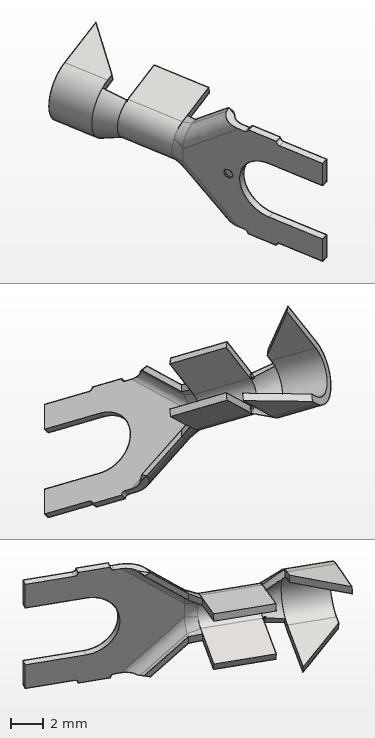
import cadquery as cq
import math

LENGTH = 19.84
THICKNESS = 0.5
OVERALL_HEIGHT = 5.54
OVERALL_WIDTH = 8.43

GRIP_END = 3.17
BARREL_START = 4.72
BARREL_END = 8.75
THROAT_START = 9.56

GRIP_BOTTOM = -0.54
GRIP_TOP = GRIP_BOTTOM + OVERALL_HEIGHT
GRIP_RADIUS = 2.28
GRIP_BEND = 78.7
GRIP_LOW_WALL = 0.52

NECK_BEND_AT_GRIP = 63.0
NECK_BEND_AT_BARREL = 75.0
NECK_FILLET = 0.12
NECK_FILLET_ROOT = 0.1

BARREL_TOP = 4.33
BARREL_RADIUS = 1.5
BARREL_BEND = 78.0

SHOULDER_TOP = 1.77
SHOULDER_FLOOR_ANGLE = 32.0
THROAT_TOP = 1.4
THROAT_RADIUS = 1.33
THROAT_FLOOR_HALF = 0.52
FLARE_ANGLE = 40.2
RIM_DROP = 0.18

FORK_HALF = 3.97
SLOT_RADIUS = 2.16
SLOT_BOTTOM = 13.73
TAB_START = 14.35
TAB_END = 16.43
DIMPLE_X = 12.9
DIMPLE_DIAMETER = 0.63
DIMPLE_DEPTH = 0.12

TAB_HEIGHT = OVERALL_WIDTH / 2 - FORK_HALF


def arc_point(bottom, radius, r, angle, offset=0.0):
    """(Y, Z) on an arc of radius r, with the angle measured from straight down."""
    a = math.radians(angle)
    return bottom + radius - r * math.cos(a), offset + r * math.sin(a)


def wall_length(bottom, radius, r, bend, top):
    """Length of the straight wall that rises from the arc of radius r to the height top."""
    return (top - arc_point(bottom, radius, r, bend)[0]) / math.sin(math.radians(bend))


def half_skin(bottom, radius, r, bend, floor_angle, offset, wall):
    """Points on the +Z half of one skin: floor end, arc middle, arc end, wall tip."""
    floor_end = arc_point(bottom, radius, r, floor_angle, offset)
    arc_middle = arc_point(bottom, radius, r, (floor_angle + bend) / 2, offset)
    arc_end = arc_point(bottom, radius, r, bend, offset)
    a = math.radians(bend)
    tip = (arc_end[0] + wall * math.sin(a), arc_end[1] + wall * math.cos(a))
    return floor_end, arc_middle, arc_end, tip


def mirrored(point):
    return point[0], -point[1]


def channel(x, bottom, radius, bend, top=None, flat_rim=False, floor_angle=None, offset=0.0):
    """Open channel section at x, with straight walls up to top if one is given.

    A flat rim ends both skins at top; otherwise the rim is square to the wall.
    A floor angle splits each skin into a floor and two side bends; without it the
    skin is one arc. The side bends are centred at the offset on either side of Z = 0.
    """
    split = floor_angle is not None
    if not split:
        floor_angle = bend
    inner_radius = radius - THICKNESS
    has_wall = top is not None
    inner_wall = wall_length(bottom, radius, inner_radius, bend, top) if has_wall else 0.0
    outer_wall = wall_length(bottom, radius, radius, bend, top) if flat_rim else inner_wall
    outer = half_skin(bottom, radius, radius, bend, floor_angle, offset, outer_wall)
    inner = half_skin(bottom, radius, inner_radius, bend, floor_angle, offset, inner_wall)

    def draw_skin(wire, skin, floor_middle):
        floor_end, arc_middle, arc_end, tip = skin
        if has_wall:
            wire = wire.lineTo(*arc_end)
        if split:
            wire = wire.threePointArc(arc_middle, floor_end)
        if floor_angle > 0:
            wire = wire.threePointArc(floor_middle, mirrored(floor_end))
        else:
            wire = wire.lineTo(*mirrored(floor_end))
        if split:
            wire = wire.threePointArc(mirrored(arc_middle), mirrored(arc_end))
        if has_wall:
            wire = wire.lineTo(*mirrored(tip))
        return wire

    wire = cq.Workplane("YZ", origin=(x, 0, 0)).moveTo(*outer[3])
    wire = draw_skin(wire, outer, (bottom, 0))
    inner_back = [mirrored(point) for point in inner]
    wire = wire.lineTo(*inner_back[3])
    wire = draw_skin(wire, inner_back, (bottom + THICKNESS, 0))
    return wire.close()


def blend(first, second):
    """Ruled solid between two channel sections."""
    wires = [first.val(), second.val()]
    return cq.Workplane(cq.Solid.makeLoft(wires, True))


def make_grip():
    grip = channel(0, GRIP_BOTTOM, GRIP_RADIUS, GRIP_BEND, GRIP_TOP).extrude(GRIP_END)
    wall = wall_length(
        GRIP_BOTTOM, GRIP_RADIUS, GRIP_RADIUS - THICKNESS, GRIP_BEND, GRIP_TOP
    )
    base_y, base_z = arc_point(GRIP_BOTTOM, GRIP_RADIUS, GRIP_RADIUS, GRIP_BEND)
    a = math.radians(GRIP_BEND)
    wall_plane = cq.Plane(
        origin=(0, base_y, base_z), xDir=(1, 0, 0), normal=(0, -math.cos(a), math.sin(a))
    )
    slant = (
        cq.Workplane(wall_plane)
        .polyline([(0, wall), (GRIP_END, wall), (GRIP_END, GRIP_LOW_WALL)])
        .close()
        .extrude(-THICKNESS)
    )
    opposite_slant = slant.rotate((GRIP_END / 2, 0, 0), (GRIP_END / 2, 1, 0), 180)
    return grip.cut(slant).cut(opposite_slant)


def make_neck():
    return blend(
        channel(GRIP_END, GRIP_BOTTOM, GRIP_RADIUS, NECK_BEND_AT_GRIP),
        channel(BARREL_START, 0, BARREL_RADIUS, NECK_BEND_AT_BARREL),
    )


def make_barrel():
    section = channel(BARREL_START, 0, BARREL_RADIUS, BARREL_BEND, BARREL_TOP)
    return section.extrude(BARREL_END - BARREL_START)


def make_shoulder():
    return blend(
        channel(
            BARREL_END, 0, BARREL_RADIUS, BARREL_BEND, SHOULDER_TOP,
            flat_rim=True, floor_angle=SHOULDER_FLOOR_ANGLE,
        ),
        channel(
            THROAT_START, 0, THROAT_RADIUS, BARREL_BEND, THROAT_TOP,
            flat_rim=True, floor_angle=0, offset=THROAT_FLOOR_HALF,
        ),
    )


def flare_x(z):
    """X where the line between the flat floor and the curled edge reaches z."""
    return THROAT_START + (z - THROAT_FLOOR_HALF) / math.tan(math.radians(FLARE_ANGLE))


def make_curled_edge():
    """+Z curled edge: half of the throat section pushed along the flare direction."""
    push = cq.Vector(flare_x(FORK_HALF) - THROAT_START, 0, FORK_HALF - THROAT_FLOOR_HALF)

    def skin(r):
        wall = wall_length(0, THROAT_RADIUS, r, BARREL_BEND, THROAT_TOP)
        return half_skin(0, THROAT_RADIUS, r, BARREL_BEND, 0, THROAT_FLOOR_HALF, wall)

    def at_fork_side(point):
        rise = FORK_HALF - point[1]
        return cq.Vector(THROAT_START + rise * push.x / push.z, point[0], FORK_HALF)

    outer = skin(THROAT_RADIUS)
    inner = skin(THROAT_RADIUS - THICKNESS)
    section = (
        cq.Workplane("YZ", origin=(THROAT_START, 0, 0))
        .moveTo(*outer[0])
        .threePointArc(outer[1], outer[2])
        .lineTo(*outer[3])
        .lineTo(*inner[3])
        .lineTo(*inner[2])
        .threePointArc(inner[1], inner[0])
        .close()
        .val()
    )
    edge = cq.Workplane(cq.Solid.extrudeLinear(section, [], push))
    trim = cq.Workplane("XY").box(LENGTH, THROAT_TOP, FORK_HALF, centered=False)
    hinge = at_fork_side(outer[3])
    hinge_line = at_fork_side(inner[0]) - hinge
    dropped_corner = at_fork_side(inner[3]) - RIM_DROP * push / push.z
    lean = cq.Plane(
        origin=hinge, xDir=hinge_line, normal=hinge_line.cross(dropped_corner - hinge)
    )
    lean_cut = cq.Workplane(lean).rect(LENGTH, LENGTH).extrude(FORK_HALF)
    return edge.intersect(trim).cut(lean_cut)


def make_tab():
    """+Z side tab, its ends flared into the fork edge by concave quarter rounds."""
    top = FORK_HALF + TAB_HEIGHT
    bow = TAB_HEIGHT * (1 - math.sqrt(0.5))
    return (
        cq.Workplane("XZ")
        .moveTo(TAB_START - TAB_HEIGHT, 0)
        .lineTo(TAB_START - TAB_HEIGHT, FORK_HALF)
        .threePointArc((TAB_START - bow, FORK_HALF + bow), (TAB_START, top))
        .lineTo(TAB_END, top)
        .threePointArc((TAB_END + bow, FORK_HALF + bow), (TAB_END + TAB_HEIGHT, FORK_HALF))
        .lineTo(TAB_END + TAB_HEIGHT, 0)
        .close()
        .extrude(-THICKNESS)
    )


def make_fork():
    half_outline = [
        (THROAT_START, 0),
        (THROAT_START, THROAT_FLOOR_HALF),
        (flare_x(FORK_HALF), FORK_HALF),
        (LENGTH, FORK_HALF),
        (LENGTH, 0),
    ]
    half = cq.Workplane("XZ").polyline(half_outline).close().extrude(-THICKNESS)
    half = half.union(make_tab()).union(make_curled_edge())
    fork = half.union(half.mirror("XY"))

    slot_center = SLOT_BOTTOM + SLOT_RADIUS
    slot = (
        cq.Workplane("XZ")
        .moveTo(LENGTH, SLOT_RADIUS)
        .lineTo(slot_center, SLOT_RADIUS)
        .threePointArc((SLOT_BOTTOM, 0), (slot_center, -SLOT_RADIUS))
        .lineTo(LENGTH, -SLOT_RADIUS)
        .close()
        .extrude(-THICKNESS)
    )
    dimple = (
        cq.Workplane("XZ")
        .center(DIMPLE_X, 0)
        .circle(DIMPLE_DIAMETER / 2)
        .extrude(-DIMPLE_DEPTH)
    )
    return fork.cut(slot).cut(dimple)


def mid_sheet_corner(x, bottom, radius, bend):
    """Middle of the +Z rim of a channel section."""
    return cq.Vector(x, *arc_point(bottom, radius, radius - THICKNESS / 2, bend))


def make_neck_web():
    """Concave web in the corner between the neck's +Z rim and the barrel's end face."""
    corner = mid_sheet_corner(BARREL_START, 0, BARREL_RADIUS, NECK_BEND_AT_BARREL)
    far_corner = mid_sheet_corner(GRIP_END, GRIP_BOTTOM, GRIP_RADIUS, NECK_BEND_AT_GRIP)
    a = math.radians(NECK_BEND_AT_BARREL)
    up_wall = cq.Vector(0, math.sin(a), math.cos(a))
    along_rim = (far_corner - corner).normalized()
    plane = cq.Plane(origin=corner, xDir=along_rim, normal=along_rim.cross(up_wall))

    def web_point(rim_distance, wall_distance):
        point = plane.toLocalCoords(corner + along_rim * rim_distance + up_wall * wall_distance)
        return point.x, point.y

    bow = NECK_FILLET * (1 - math.sqrt(0.5))
    return (
        cq.Workplane(plane)
        .moveTo(*web_point(0, -NECK_FILLET_ROOT))
        .lineTo(*web_point(0, NECK_FILLET))
        .threePointArc(web_point(bow, bow), web_point(NECK_FILLET, 0))
        .lineTo(*web_point(NECK_FILLET, -NECK_FILLET_ROOT))
        .close()
        .extrude(THICKNESS / 2, both=True)
    )


neck_web = make_neck_web()
terminal = (
    make_grip()
    .union(make_neck())
    .union(make_barrel())
    .union(neck_web)
    .union(neck_web.mirror("XY"))
    .union(make_shoulder())
    .union(make_fork())
)
result = cq.Workplane(terminal.solids().val())